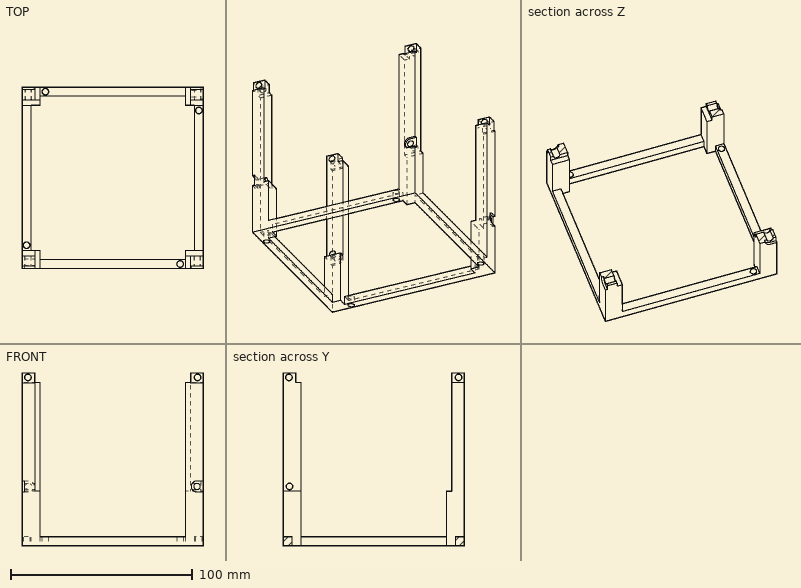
import cadquery as cq

SIDE = 100.0
TOTAL_HEIGHT = 95.3
BAR = 5.0
POST = 10.0
POST_TOP = 90.1
HOLE_DIAMETER = 3.5

STEP_HEIGHT = 30.1
STEP_DEPTH = 3.0

RECESS_DEPTH = 1.3
RECESS_HEIGHT = 32.7
RECESS_RADIUS = 3.1
RECESS_INSET = 3.55

PEG_HOLE_INSET = 3.25
PEG_HOLE_DROP = 2.5
PEG_RELIEF = 0.4

BAR_HOLE_INSET = 12.85

HALF = SIDE / 2
THINNED = POST - STEP_DEPTH
HOLE_RADIUS = HOLE_DIAMETER / 2


def box(x_range, y_range, z_range):
    """Box spanning three (low, high) ranges."""
    lengths = [high - low for low, high in (x_range, y_range, z_range)]
    corner = (x_range[0], y_range[0], z_range[0])
    return cq.Workplane("XY").box(*lengths, centered=False).translate(corner)


def cylinder_y(x, y, z, radius, length):
    """Cylinder running from the given point toward +Y."""
    axis = cq.Vector(0, 1, 0)
    return cq.Workplane(cq.Solid.makeCylinder(radius, length, cq.Vector(x, y, z), axis))


def side_recess():
    """Recess in the -Y post face, open at the +X edge, with its screw hole."""
    x = HALF - RECESS_INSET
    z_range = (RECESS_HEIGHT - RECESS_RADIUS, RECESS_HEIGHT + RECESS_RADIUS)
    round_end = cylinder_y(x, -HALF, RECESS_HEIGHT, RECESS_RADIUS, RECESS_DEPTH)
    open_end = box((x, HALF), (-HALF, -HALF + RECESS_DEPTH), z_range)
    hole = cylinder_y(x, -HALF, RECESS_HEIGHT, HOLE_RADIUS, POST)
    return round_end.union(open_end).union(hole)


def frame_quarter():
    """Post at the +X -Y corner together with the bar along the -Y side."""
    post = box((HALF - POST, HALF), (-HALF, -HALF + POST), (0, POST_TOP))
    thinning = box((HALF - POST, HALF), (-HALF + THINNED, -HALF + POST), (STEP_HEIGHT, POST_TOP))
    bar = box((-HALF, HALF), (-HALF, -HALF + BAR), (0, BAR))
    bar_hole = (
        cq.Workplane("XY")
        .center(HALF - BAR_HOLE_INSET, -HALF + BAR / 2)
        .circle(HOLE_RADIUS)
        .extrude(BAR)
    )
    return post.cut(thinning).cut(side_recess()).union(bar).cut(bar_hole)


def peg():
    """Peg on the +X -Y post, flush with its thinned inner face, with its hole along Y."""
    block = box(
        (HALF - THINNED, HALF),
        (-HALF + RECESS_DEPTH, -HALF + THINNED),
        (POST_TOP, TOTAL_HEIGHT),
    )
    hole = cylinder_y(
        HALF - PEG_HOLE_INSET, -HALF, TOTAL_HEIGHT - PEG_HOLE_DROP, HOLE_RADIUS, POST
    )
    return block.cut(hole)


def peg_relief():
    """Shallow recess in the shoulder on the outer side of the peg."""
    return box(
        (HALF - THINNED, HALF),
        (-HALF, -HALF + RECESS_DEPTH),
        (POST_TOP - PEG_RELIEF, POST_TOP),
    )


def at_four_corners(shape):
    """The +X -Y shape and its mirror images at the other three corners."""
    pair = [shape, shape.mirror("YZ")]
    return pair + [item.mirror("XZ") for item in pair]


result = cq.Workplane("XY")
for quarter in range(4):
    result = result.union(frame_quarter().rotate((0, 0, 0), (0, 0, 1), 90 * quarter))
for corner_peg in at_four_corners(peg()):
    result = result.union(corner_peg)
for corner_relief in at_four_corners(peg_relief()):
    result = result.cut(corner_relief)